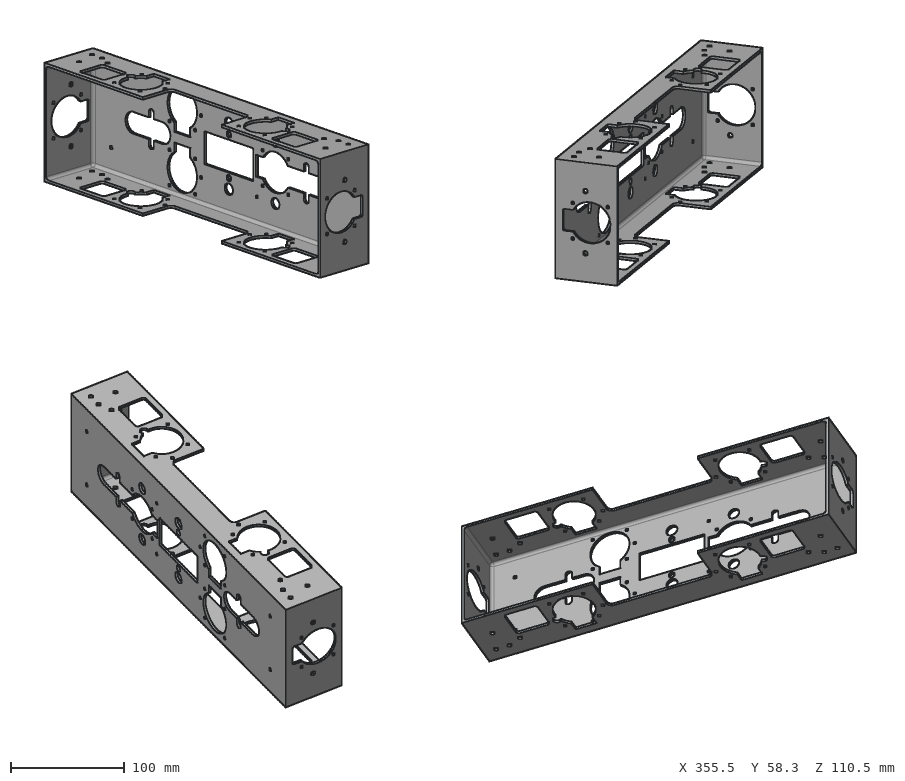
import cadquery as cq

LENGTH = 355.5
DEPTH = 58.3
HEIGHT = 110.5
WALL = 2.5
INNER_RADIUS = 3.0

KEY_DIA = 38.0
NECK_WIDTH = 20.3
NECK_REACH = 25.0
SCREW_PITCH = 33.0
SCREW_DIA = 2.65

BACK_CORNER_X = 152.0
BACK_CORNER_Z = 30.2
BACK_CORNER_DIA = 3.2
SLOT_OUTER_X = 133.5
SLOT_INNER_X = 75.5
SLOT_WIDTH = NECK_WIDTH
CROSS_SLOT_X = 100.0
CROSS_SLOT_WIDTH = 6.5
CROSS_SLOT_LENGTH = 37.5
BACK_KEY_X = 60.0
BACK_KEY_Z = 30.0
SIDE_ROW_Z = 28.8
SIDE_SCREW_X = 36.0
SIDE_HOLE_DIA = 10.3
WINDOW_WIDTH = 63.3
WINDOW_HEIGHT = 30.5
WINDOW_RADIUS = 1.0
CENTRE_HOLE_Z = 30.5
CENTRE_HOLE_DIA = 10.5
CENTRE_SMALL_Z = 20.3
CENTRE_SMALL_DIA = 5.7

NOTCH_WIDTH = 101.7
NOTCH_Y = 5.0
NOTCH_RADIUS = 5.0
PANEL_KEY_X = 80.5
PANEL_KEY_Y = -4.0
LOBE_X = 100.0
LOBE_Y = 2.0
LOBE_DIA = 7.5
PORT_X = 123.7
PORT_WIDTH = 32.0
PORT_DEPTH = 28.0
PORT_RADIUS = 3.0
PANEL_HOLES = [(165.5, 16.5), (152.5, 16.5), (139.8, 11.0), (159.0, -5.0)]
PANEL_HOLE_DIA = 4.0
NOTCH_SCREW_X = 54.8
NOTCH_SCREW_Y = 1.0
NOTCH_SCREW_DIA = 3.0

END_KEY_Y = -4.0
END_NECK_REACH = 26.0
END_NECK_RADIUS = 2.0
END_SCREW_Y = 0.7
END_SCREW_Z = 28.8
END_SCREW_DIA = 4.3

SIGNS = (-1, 1)

BACK_CUT = 4 * WALL
FLAT_CUT = 2 * HEIGHT
END_CUT = 2 * LENGTH

BACK = cq.Plane(origin=(0, 0, 0), xDir=(1, 0, 0), normal=(0, -1, 0))
FLAT = cq.Plane.XY()
END = cq.Plane.YZ()


def box_shell():
    """Five-walled box, open toward -Y, with rounded inside edges."""
    outer = cq.Workplane("XY").box(LENGTH, DEPTH, HEIGHT)
    cavity = (
        cq.Workplane("XY")
        .box(LENGTH - 2 * WALL, DEPTH, HEIGHT - 2 * WALL)
        .edges("|Y or >Y")
        .fillet(INNER_RADIUS)
        .translate((0, -WALL, 0))
    )
    return outer.cut(cavity)


def through(plane, depth, points):
    """Workplane holding points, set back so a cutter of this depth is centred on plane."""
    return cq.Workplane(plane).workplane(offset=-depth / 2).pushPoints(points)


def holes(plane, depth, points, diameter):
    return through(plane, depth, points).circle(diameter / 2).extrude(depth)


def rectangle(plane, depth, center, width, height, radius):
    block = through(plane, depth, [center]).rect(width, height).extrude(depth)
    return block.edges(cq.selectors.ParallelDirSelector(plane.zDir)).fillet(radius)


def slot(plane, depth, center, length, width, angle=0):
    return through(plane, depth, [center]).slot2D(length, width, angle).extrude(depth)


def four_corners(u, v):
    """Points mirrored into all four quadrants of a plane."""
    return [(a * u, b * v) for a in SIGNS for b in SIGNS]


def keyhole(plane, depth, center, neck, reach=NECK_REACH, radius=0):
    """Round opening with a neck along the unit direction neck, and its four screw holes."""
    u, v = center
    du, dv = neck
    neck_center = (u + du * reach / 2, v + dv * reach / 2)
    width = abs(du) * reach + abs(dv) * NECK_WIDTH
    height = abs(dv) * reach + abs(du) * NECK_WIDTH
    if radius:
        neck_block = rectangle(plane, depth, neck_center, width, height, radius)
    else:
        neck_block = through(plane, depth, [neck_center]).rect(width, height).extrude(depth)
    corners = four_corners(SCREW_PITCH / 2, SCREW_PITCH / 2)
    screws = [(u + screw_u, v + screw_v) for screw_u, screw_v in corners]
    return (
        holes(plane, depth, [center], KEY_DIA)
        .union(neck_block)
        .union(holes(plane, depth, screws, SCREW_DIA))
    )


def back_cutouts():
    """Cutters for the back panel, moved from the middle of the box to the panel."""
    slot_length = SLOT_OUTER_X - SLOT_INNER_X
    slot_x = (SLOT_OUTER_X + SLOT_INNER_X) / 2
    long_length = SLOT_OUTER_X - BACK_KEY_X
    long_x = (SLOT_OUTER_X + BACK_KEY_X) / 2
    cutters = [
        holes(BACK, BACK_CUT, four_corners(BACK_CORNER_X, BACK_CORNER_Z), BACK_CORNER_DIA),
        holes(BACK, BACK_CUT, four_corners(SIDE_SCREW_X, SIDE_ROW_Z), SCREW_DIA),
        rectangle(BACK, BACK_CUT, (0, 0), WINDOW_WIDTH, WINDOW_HEIGHT, WINDOW_RADIUS),
        slot(BACK, BACK_CUT, (-slot_x, 0), slot_length, SLOT_WIDTH),
        slot(BACK, BACK_CUT, (long_x, 0), long_length, SLOT_WIDTH),
        keyhole(BACK, BACK_CUT, (BACK_KEY_X, 0), (-1, 0)),
    ]
    for s in SIGNS:
        cutters += [
            slot(BACK, BACK_CUT, (s * CROSS_SLOT_X, 0), CROSS_SLOT_LENGTH, CROSS_SLOT_WIDTH, 90),
            keyhole(BACK, BACK_CUT, (-BACK_KEY_X, s * BACK_KEY_Z), (0, -s)),
            holes(BACK, BACK_CUT, [(BACK_KEY_X, s * SIDE_ROW_Z)], SIDE_HOLE_DIA),
            holes(BACK, BACK_CUT, [(0, s * CENTRE_HOLE_Z)], CENTRE_HOLE_DIA),
            holes(BACK, BACK_CUT, [(0, s * CENTRE_SMALL_Z)], CENTRE_SMALL_DIA),
        ]
    return [cutter.translate((0, DEPTH / 2, 0)) for cutter in cutters]


def top_and_bottom_cutouts():
    """Cutters running through both panels, mirrored left to right."""
    notch_depth = NOTCH_Y + DEPTH / 2
    port_y = NOTCH_Y - PORT_DEPTH / 2
    notch = (
        through(FLAT, FLAT_CUT, [(0, NOTCH_Y - notch_depth / 2)])
        .rect(NOTCH_WIDTH, notch_depth)
        .extrude(FLAT_CUT)
        .edges("|Z and >Y")
        .fillet(NOTCH_RADIUS)
    )
    cutters = [notch]
    for s in SIGNS:
        cutters += [
            keyhole(FLAT, FLAT_CUT, (s * PANEL_KEY_X, PANEL_KEY_Y), (0, 1)),
            holes(FLAT, FLAT_CUT, [(s * LOBE_X, LOBE_Y)], LOBE_DIA),
            rectangle(FLAT, FLAT_CUT, (s * PORT_X, port_y), PORT_WIDTH, PORT_DEPTH, PORT_RADIUS),
            holes(FLAT, FLAT_CUT, [(s * x, y) for x, y in PANEL_HOLES], PANEL_HOLE_DIA),
            holes(FLAT, FLAT_CUT, [(s * NOTCH_SCREW_X, NOTCH_SCREW_Y)], NOTCH_SCREW_DIA),
        ]
    return cutters


def end_cutouts():
    """Cutters running through both end panels."""
    screws = [(END_SCREW_Y, s * END_SCREW_Z) for s in SIGNS]
    return [
        keyhole(END, END_CUT, (END_KEY_Y, 0), (1, 0), END_NECK_REACH, END_NECK_RADIUS),
        holes(END, END_CUT, screws, END_SCREW_DIA),
    ]


result = box_shell()
for cutter in back_cutouts() + top_and_bottom_cutouts() + end_cutouts():
    result = result.cut(cutter)